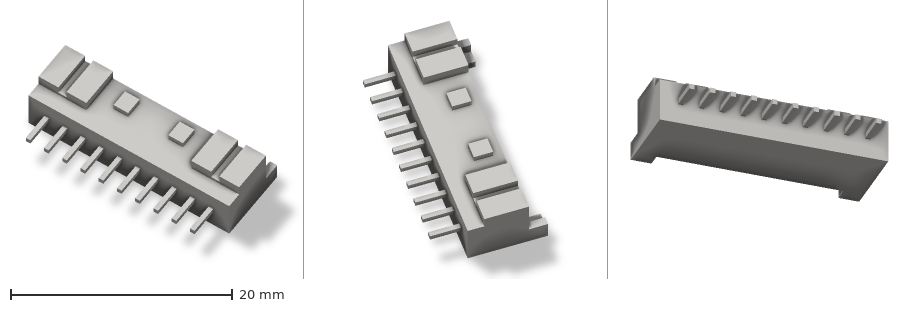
import cadquery as cq


housing_length = 22.0
housing_depth = 5.9
housing_height = 4.2

shelf_depth = 0.5
ear_depth = 1.8
ear_length = 2.0
ear_height = 1.8
end_wall_thickness = 0.8
shelf_height = 0.8

block_length = 5.25
block_depth = 4.3
block_height = 1.1
groove_width = 0.9
groove_depth = 0.8

pad_length = 1.6
pad_depth = 1.85
pad_height = 0.6
pad_spacing = 6.0
pad_setback = 0.95

pin_count = 10
pin_pitch = 2.0
pin_size = 0.5
pin_length = 3.0
pin_center_height = 2.2

half_length = housing_length / 2
block_top = housing_height + block_height


def box(x_center, x_size, y_start, y_size, z_start, z_size):
    """Box centred on x_center, growing from y_start and z_start."""
    solid = cq.Workplane("XY").box(x_size, y_size, z_size, centered=(True, False, False))
    return solid.translate((x_center, y_start, z_start))


def make_housing():
    return box(0, housing_length, 0, housing_depth, 0, housing_height)


def make_shelf():
    return box(0, housing_length, housing_depth, shelf_depth, 0, shelf_height)


def make_ear(side):
    """Ear at one end: a low floor with a taller wall along its outer edge."""
    floor_x = side * (half_length - ear_length / 2)
    wall_x = side * (half_length - end_wall_thickness / 2)
    floor = box(floor_x, ear_length, housing_depth, ear_depth, 0, shelf_height)
    wall = box(wall_x, end_wall_thickness, housing_depth, ear_depth, 0, ear_height)
    return floor.union(wall)


def make_end_block(side):
    """Raised block at one end of the top face, with its groove cut."""
    x_center = side * (half_length - block_length / 2)
    y_start = housing_depth - block_depth
    block = box(x_center, block_length, y_start, block_depth, housing_height, block_height)
    groove = box(x_center, groove_width, y_start, block_depth, block_top - groove_depth, groove_depth)
    return block.cut(groove)


def make_pad(side):
    y_start = housing_depth - pad_setback - pad_depth
    return box(side * pad_spacing / 2, pad_length, y_start, pad_depth, housing_height, pad_height)


def make_pin(index):
    x_center = (index - (pin_count - 1) / 2) * pin_pitch
    z_start = pin_center_height - pin_size / 2
    return box(x_center, pin_size, -pin_length, pin_length, z_start, pin_size)


result = make_housing().union(make_shelf())
for side in (-1, 1):
    result = result.union(make_ear(side))
    result = result.union(make_end_block(side))
    result = result.union(make_pad(side))
for index in range(pin_count):
    result = result.union(make_pin(index))
result = result.clean()